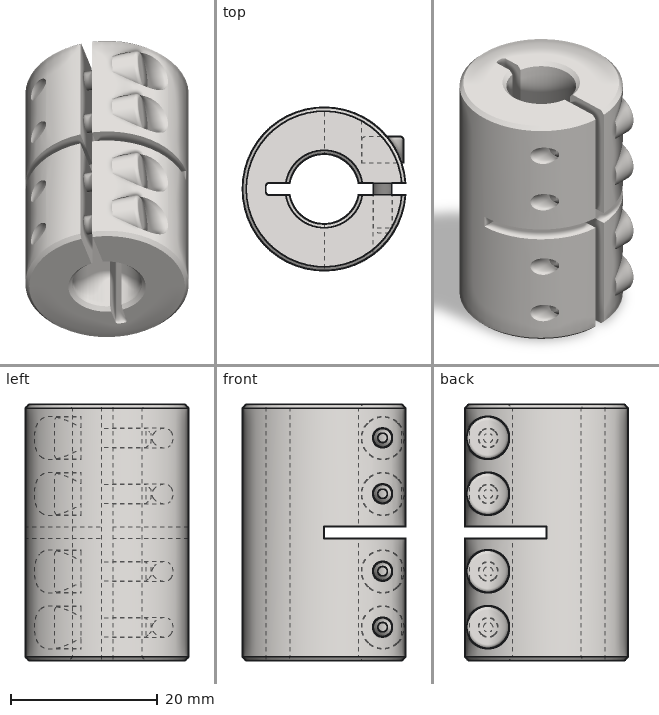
import cadquery as cq

LENGTH = 34.92
OUTER_DIAMETER = 22.25
BORE_DIAMETER = 9.5
EDGE_CHAMFER = 0.52

SLOT_WIDTH = 1.6
SLOT_REACH = 7.93
SLOT_CORNER_RADIUS = 0.45
RELIEF_WIDTH = 1.6

SCREW_OFFSET = 7.95
INNER_SCREW_HEIGHT = 5.27
OUTER_SCREW_HEIGHT = 12.9
SHANK_DIAMETER = 2.55
TIP_DIAMETER = 1.3
TIP_CHAMFER = (SHANK_DIAMETER - TIP_DIAMETER) / 2
HOLE_DIAMETER = 2.7
SHANK_LENGTH = 9.55
HEAD_DIAMETER = 5.73
HEAD_HEIGHT = 3.55
HEAD_FILLET = 0.5
SEAT_Y = 3.6
POCKET_DIAMETER = HEAD_DIAMETER + HOLE_DIAMETER - SHANK_DIAMETER

OUTER_RADIUS = OUTER_DIAMETER / 2
SCREW_HEIGHTS = [
    side * height
    for side in (-1, 1)
    for height in (INNER_SCREW_HEIGHT, OUTER_SCREW_HEIGHT)
]


def make_sleeve():
    """Bored cylinder with all four end edges chamfered."""
    return (
        cq.Workplane("XY")
        .circle(OUTER_RADIUS)
        .circle(BORE_DIAMETER / 2)
        .extrude(LENGTH / 2, both=True)
        .faces("<Z or >Z")
        .chamfer(EDGE_CHAMFER)
    )


def make_clamping_slot():
    """Full-length slot: opens on +X, crosses the bore and ends in the -X wall."""
    slot_length = SLOT_REACH + OUTER_RADIUS
    return (
        cq.Workplane("XY")
        .box(slot_length, SLOT_WIDTH, LENGTH)
        .edges("|Z and <X")
        .fillet(SLOT_CORNER_RADIUS)
        .translate((slot_length / 2 - SLOT_REACH, 0, 0))
    )


def make_relief_cut():
    """Mid-length cut through the +X half that separates the two clamps."""
    return cq.Workplane("XY").box(
        OUTER_RADIUS, OUTER_DIAMETER, RELIEF_WIDTH, centered=(False, True, True)
    )


def cylinder_along_y(diameter, start_y, end_y, height):
    """Cylinder on a screw axis, running from start_y to end_y."""
    return cq.Workplane(
        cq.Solid.makeCylinder(
            diameter / 2,
            end_y - start_y,
            cq.Vector(SCREW_OFFSET, start_y, height),
            cq.Vector(0, 1, 0),
        )
    )


def make_screw_hole(height):
    """Hole through the -Y jaw and a head pocket open to the +Y side."""
    hole = cylinder_along_y(HOLE_DIAMETER, -OUTER_RADIUS, 0, height)
    pocket = cylinder_along_y(POCKET_DIAMETER, SEAT_Y, OUTER_RADIUS, height)
    return hole.union(pocket)


def make_screw(height):
    """Screw with a rounded head and a chamfered tip, seated on the pocket floor."""
    head = cylinder_along_y(HEAD_DIAMETER, SEAT_Y, SEAT_Y + HEAD_HEIGHT, height)
    head = head.faces(">Y").edges().fillet(HEAD_FILLET)
    shank = cylinder_along_y(SHANK_DIAMETER, SEAT_Y - SHANK_LENGTH, SEAT_Y, height)
    shank = shank.faces("<Y").chamfer(TIP_CHAMFER)
    return head.union(shank)


result = make_sleeve().cut(make_clamping_slot()).cut(make_relief_cut())
for screw_height in SCREW_HEIGHTS:
    result = result.cut(make_screw_hole(screw_height))
    result = result.union(make_screw(screw_height))